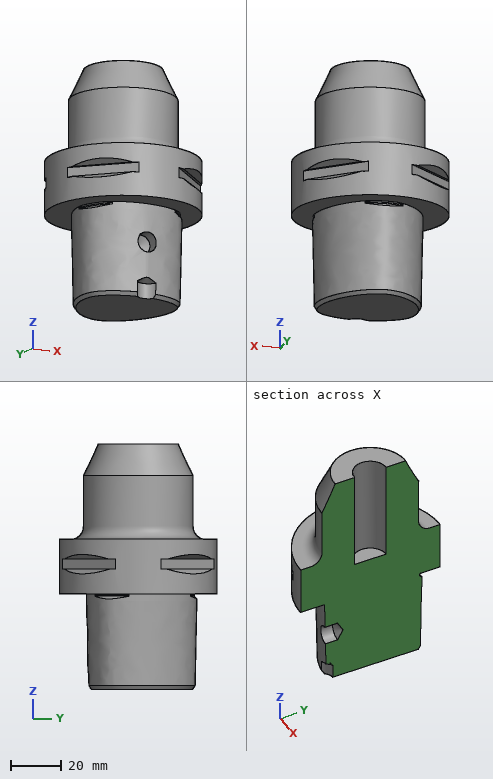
import cadquery as cq
import math

total_height = 98.0
flange_bottom = 38.2
flange_top = 60.0
nose_cone_start = 85.4
taper_start = 1.6
taper_end = 35.2

flange_radius = 63.0 / 2
nose_radius = 22.0
nose_tip_radius = 16.0
nose_fillet = 5.0
bore_radius = 7.1
bore_depth = 44.1

shank_end_radius = 20.3
shank_small_radius = 21.4
shank_large_radius = 22.05
lobe_height = 1.4
profile_points = 72

relief_radius = 22.3
relief_depth = 1.0
relief_lip = 0.5
relief_cone_height = 2.0
relief_cone_outer = relief_radius + relief_cone_height

slot_height = 50.03
slot_floor_distance = 27.7
slot_flare_distance = 28.9
slot_floor_width = 4.0
slot_mouth_width = 7.7

drill_point_slope = math.tan(math.radians(30))
side_hole_radius = 4.1
side_hole_height = 22.5
side_hole_depth = 5.9
keyway_radius = 4.4
keyway_axis_distance = 21.4
keyway_shoulder = 6.2


def lobed_point(mean_radius, angle):
    """Point where the lobed outline has its outward normal at this angle."""
    lobe_angle = 3 * (angle - math.pi / 2)
    reach = mean_radius + lobe_height * math.cos(lobe_angle)
    slide = -3 * lobe_height * math.sin(lobe_angle)
    x = reach * math.cos(angle) - slide * math.sin(angle)
    y = reach * math.sin(angle) + slide * math.cos(angle)
    return x, y


def lobed_outline(mean_radius):
    step = 2 * math.pi / profile_points
    return [lobed_point(mean_radius, -math.pi / 2 + i * step) for i in range(profile_points)]


def lobed_section(bottom, top, bottom_radius, top_radius):
    return (
        cq.Workplane("XY", origin=(0, 0, bottom))
        .spline(lobed_outline(bottom_radius), periodic=True)
        .close()
        .workplane(offset=top - bottom)
        .spline(lobed_outline(top_radius), periodic=True)
        .close()
        .loft(ruled=True)
    )


def make_shank():
    chamfer = lobed_section(0, taper_start, shank_end_radius, shank_small_radius)
    taper = lobed_section(taper_start, taper_end, shank_small_radius, shank_large_radius)
    neck = lobed_section(taper_end, flange_bottom, shank_large_radius, shank_large_radius)
    return chamfer.union(taper).union(neck)


def make_relief():
    cone_top = flange_bottom - relief_depth
    return (
        cq.Workplane("XZ")
        .moveTo(relief_radius + relief_lip, flange_bottom)
        .lineTo(relief_radius, flange_bottom - relief_lip)
        .lineTo(relief_radius, cone_top)
        .lineTo(relief_cone_outer, cone_top - relief_cone_height)
        .lineTo(relief_cone_outer, flange_bottom)
        .close()
        .revolve(360, (0, 0, 0), (0, 1, 0))
    )


def make_head():
    arc_mid = nose_fillet * (1 - math.sqrt(0.5))
    return (
        cq.Workplane("XZ")
        .moveTo(0, flange_bottom)
        .lineTo(flange_radius, flange_bottom)
        .lineTo(flange_radius, flange_top)
        .lineTo(nose_radius + nose_fillet, flange_top)
        .threePointArc(
            (nose_radius + arc_mid, flange_top + arc_mid),
            (nose_radius, flange_top + nose_fillet),
        )
        .lineTo(nose_radius, nose_cone_start)
        .lineTo(nose_tip_radius, total_height)
        .lineTo(0, total_height)
        .close()
        .revolve(360, (0, 0, 0), (0, 1, 0))
    )


def make_slot(angle):
    """Slot with a flared mouth and a flat floor square to the given direction."""
    half_floor = slot_floor_width / 2
    half_mouth = slot_mouth_width / 2
    return (
        cq.Workplane("XZ")
        .moveTo(slot_floor_distance, slot_height - half_floor)
        .lineTo(slot_flare_distance, slot_height - half_floor)
        .lineTo(flange_radius, slot_height - half_mouth)
        .lineTo(flange_radius, slot_height + half_mouth)
        .lineTo(slot_flare_distance, slot_height + half_floor)
        .lineTo(slot_floor_distance, slot_height + half_floor)
        .close()
        .extrude(flange_radius, both=True)
        .rotate((0, 0, 0), (0, 0, 1), angle)
    )


def make_drill(radius, shoulder):
    """Vertical drill starting at the origin, with its point upward."""
    return (
        cq.Workplane("XZ")
        .lineTo(radius, 0)
        .lineTo(radius, shoulder)
        .lineTo(0, shoulder + radius * drill_point_slope)
        .close()
        .revolve(360, (0, 0, 0), (0, 1, 0))
    )


def make_side_hole():
    flat_distance = shank_large_radius - lobe_height
    drill = make_drill(side_hole_radius, side_hole_depth).rotate((0, 0, 0), (1, 0, 0), -90)
    return drill.translate((0, -flat_distance, side_hole_height))


def make_keyway():
    return make_drill(keyway_radius, keyway_shoulder).translate((0, -keyway_axis_distance, 0))


def make_bore():
    return (
        cq.Workplane("XY", origin=(0, 0, total_height - bore_depth))
        .circle(bore_radius)
        .extrude(bore_depth)
    )


result = make_shank().cut(make_relief()).union(make_head())
for slot_angle in (45, 135, 225, 315):
    result = result.cut(make_slot(slot_angle))
result = result.cut(make_side_hole()).cut(make_keyway()).cut(make_bore())